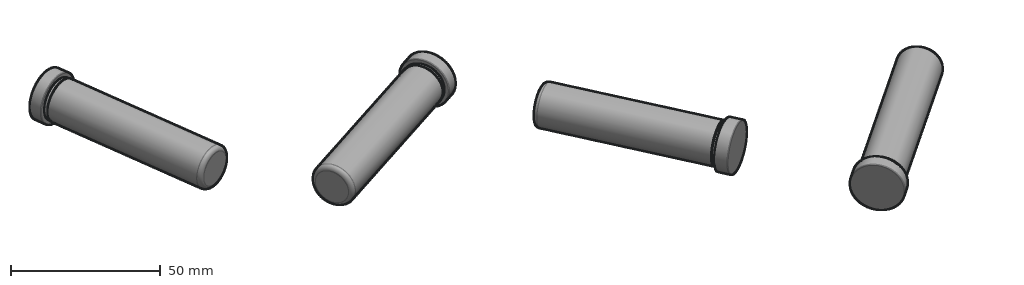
import cadquery as cq

total_length = 70.0
head_diameter = 19.0
head_length = 5.0
head_edge_radius = 0.3
shank_diameter = 15.95
tip_radius = 1.7

undercut_depth = 0.2
undercut_length = 1.55

head_start = -total_length / 2
head_end = head_start + head_length


def cylinder_along_x(start, length, diameter):
    """Solid cylinder on the X axis, growing toward +X from start."""
    return cq.Workplane("YZ", origin=(start, 0, 0)).circle(diameter / 2).extrude(length)


def make_head():
    head = cylinder_along_x(head_start, head_length, head_diameter)
    return head.faces("<X or >X").edges().fillet(head_edge_radius)


def make_shank():
    shank = cylinder_along_x(head_start, total_length, shank_diameter)
    return shank.faces(">X").edges().fillet(tip_radius)


def make_undercut():
    """Ring to cut away; its far wall is a 45 degree cone back up to the shank."""
    ring = cylinder_along_x(head_end, undercut_length, shank_diameter)
    core_diameter = shank_diameter - 2 * undercut_depth
    core = cylinder_along_x(head_end, undercut_length, core_diameter)
    ramp_start = head_end + undercut_length - undercut_depth
    ramp = cylinder_along_x(ramp_start, 2 * undercut_depth, shank_diameter)
    ramp = ramp.faces("<X").chamfer(undercut_depth)
    return ring.cut(core).cut(ramp)


result = make_shank().cut(make_undercut()).union(make_head())